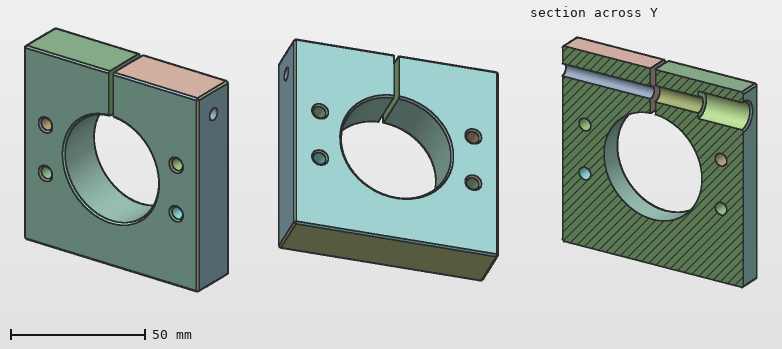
import cadquery as cq

SIDE = 80.0
THICKNESS = 20.0

CHAMFER = 0.75

BORE_DIAMETER = 43.0
SLOT_WIDTH = 2.0

MOUNT_DIAMETER = 4.92
MOUNT_SPACING_X = 60.0
MOUNT_SPACING_Z = 20.0

SCREW_Z = 30.0
SCREW_HEAD_DIAMETER = 11.0
SCREW_HEAD_DEPTH = 20.0
SCREW_CLEARANCE_DIAMETER = 6.5
SCREW_CORE_DIAMETER = 4.92


def cylinder(diameter, length, start, direction):
    """Cylinder that begins at the start point and runs along the direction."""
    return cq.Workplane(obj=cq.Solid.makeCylinder(diameter / 2, length, start, direction))


def mouth_chamfer(hole_diameter, mouth_centre, inward):
    """Cutter that chamfers the mouth of a hole running inward from the mouth centre."""
    hole_radius = hole_diameter / 2
    mouth_radius = hole_radius + CHAMFER
    return cq.Workplane(obj=cq.Solid.makeCone(mouth_radius, hole_radius, CHAMFER, mouth_centre, inward))


def block():
    """Square block with all its outer edges chamfered."""
    return cq.Workplane("XY").box(SIDE, THICKNESS, SIDE).edges().chamfer(CHAMFER)


def through_hole(x, z, diameter):
    """Cutter for a hole along Y through the block, chamfered at both ends."""
    front = cq.Vector(x, -THICKNESS / 2, z)
    back = cq.Vector(x, THICKNESS / 2, z)
    inward = cq.Vector(0, 1, 0)
    cutter = cylinder(diameter, THICKNESS, front, inward)
    cutter = cutter.union(mouth_chamfer(diameter, front, inward))
    return cutter.union(mouth_chamfer(diameter, back, -inward))


def clamp_slot():
    """Cutter for the slot from the bore centre to the top face."""
    return cq.Workplane("XY").box(SLOT_WIDTH, THICKNESS, SIDE / 2, centered=(True, True, False))


def clamp_screw_hole():
    """Cutter for the stepped clamp screw hole entering from the -X face."""
    entry = cq.Vector(-SIDE / 2, 0, SCREW_Z)
    inward = cq.Vector(1, 0, 0)
    cutter = cylinder(SCREW_CORE_DIAMETER, SIDE, entry, inward)
    cutter = cutter.union(cylinder(SCREW_CLEARANCE_DIAMETER, SIDE / 2, entry, inward))
    cutter = cutter.union(cylinder(SCREW_HEAD_DIAMETER, SCREW_HEAD_DEPTH, entry, inward))
    return cutter.union(mouth_chamfer(SCREW_HEAD_DIAMETER, entry, inward))


result = block()
result = result.cut(through_hole(0, 0, BORE_DIAMETER))
result = result.cut(clamp_slot())

for mount_x in (-MOUNT_SPACING_X / 2, MOUNT_SPACING_X / 2):
    for mount_z in (-MOUNT_SPACING_Z / 2, MOUNT_SPACING_Z / 2):
        result = result.cut(through_hole(mount_x, mount_z, MOUNT_DIAMETER))

result = result.cut(clamp_screw_hole())